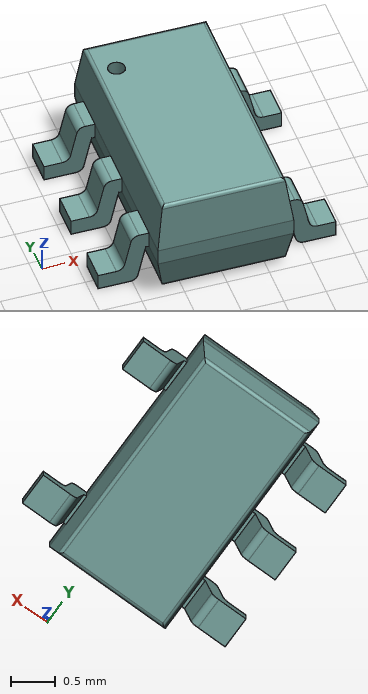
import cadquery as cq
import math

HOUSING_WIDTH = 1.6
HOUSING_LENGTH = 2.92
HOUSING_BOTTOM = 0.055
HOUSING_TOP = 1.25
TAPER_INSET = 0.08
EDGE_RADIUS = 0.045

LEAD_SPAN = 2.8
LEAD_THICKNESS = 0.2
LEAD_WIDTH = 0.397
LEAD_PITCH = 0.95
LEAD_TOP = 0.67
LEAD_LEAN = 13.0
BEND_RADIUS = 0.1
INNER_CORNER_GAP = 0.038

MARK_DIAMETER = 0.2
MARK_DEPTH = 0.2
MARK_X = -0.48
MARK_Y = LEAD_PITCH

BELT_TOP = LEAD_TOP
BELT_BOTTOM = LEAD_TOP - LEAD_THICKNESS


def make_tapered_half(belt_z, end_z):
    """Half of the housing that narrows from the belt to its flat end."""
    return (
        cq.Workplane("XY", origin=(0, 0, belt_z))
        .rect(HOUSING_WIDTH, HOUSING_LENGTH)
        .workplane(offset=end_z - belt_z)
        .rect(HOUSING_WIDTH - 2 * TAPER_INSET, HOUSING_LENGTH - 2 * TAPER_INSET)
        .loft(ruled=True)
    )


def make_housing():
    belt = (
        cq.Workplane("XY", origin=(0, 0, BELT_BOTTOM))
        .rect(HOUSING_WIDTH, HOUSING_LENGTH)
        .extrude(LEAD_THICKNESS)
    )
    upper = make_tapered_half(BELT_TOP, HOUSING_TOP)
    lower = make_tapered_half(BELT_BOTTOM, HOUSING_BOTTOM)
    body = belt.union(upper).union(lower)
    body = body.faces(">Z or <Z").edges().fillet(EDGE_RADIUS)
    mark = (
        cq.Workplane("XY", origin=(MARK_X, MARK_Y, HOUSING_TOP - MARK_DEPTH))
        .circle(MARK_DIAMETER / 2)
        .extrude(MARK_DEPTH)
    )
    return body.cut(mark)


def make_lead(side, y):
    """Lead on the +X (side = 1) or -X (side = -1) face, centred at y."""
    lean = math.radians(LEAD_LEAN)
    root_x = HOUSING_WIDTH / 2
    tip_x = LEAD_SPAN / 2
    inner_top_x = root_x + INNER_CORNER_GAP
    inner_bottom_x = inner_top_x + BELT_BOTTOM * math.tan(lean)

    leg_width = LEAD_THICKNESS / math.cos(lean)
    outer_top_x = inner_top_x - LEAD_THICKNESS * math.tan(lean) + leg_width
    outer_foot_x = inner_bottom_x - LEAD_THICKNESS * math.tan(lean) + leg_width

    outline = [
        (root_x, LEAD_TOP),
        (outer_top_x, LEAD_TOP),
        (outer_foot_x, LEAD_THICKNESS),
        (tip_x, LEAD_THICKNESS),
        (tip_x, 0),
        (inner_bottom_x, 0),
        (inner_top_x, BELT_BOTTOM),
        (root_x, BELT_BOTTOM),
    ]
    rounded_corners = [outline[1], outline[2], outline[5]]

    lead = (
        cq.Workplane("XZ", origin=(0, y + LEAD_WIDTH / 2, 0))
        .polyline([(side * x, z) for x, z in outline])
        .close()
        .extrude(LEAD_WIDTH)
    )
    for x, z in rounded_corners:
        corner = cq.selectors.NearestToPointSelector((side * x, y, z))
        lead = lead.edges("|Y").edges(corner).fillet(BEND_RADIUS)
    return lead


lead_places = [
    (-1, -LEAD_PITCH),
    (-1, 0),
    (-1, LEAD_PITCH),
    (1, -LEAD_PITCH),
    (1, LEAD_PITCH),
]

housing = make_housing()
leads = [make_lead(side, y) for side, y in lead_places]

result = cq.Compound.makeCompound([housing.val(), *[lead.val() for lead in leads]])